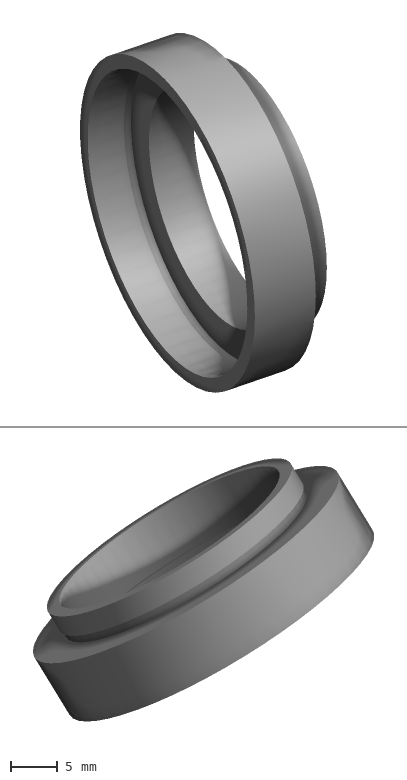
import cadquery as cq

outer_diameter = 38.1
total_length = 11.0
flange_length = 7.5
lip_diameter = 30.5
lip_length = 2.5
neck_diameter = 30.02
bore_diameter = 27.47
recess_diameter = 34.8
recess_depth = 5.5
groove_diameter = 35.28
groove_width = 1.0

neck_length = total_length - flange_length - lip_length


def cylinder(diameter, start, length):
    """Solid cylinder along +Y, beginning at the given Y position."""
    plane = cq.Plane(origin=(0, start, 0), xDir=(1, 0, 0), normal=(0, 1, 0))
    return cq.Workplane(plane).circle(diameter / 2).extrude(length)


flange = cylinder(outer_diameter, 0, flange_length)
neck = cylinder(neck_diameter, flange_length, neck_length)
lip = cylinder(lip_diameter, flange_length + neck_length, lip_length)

bore = cylinder(bore_diameter, 0, total_length)
recess = cylinder(recess_diameter, 0, recess_depth)
groove = cylinder(groove_diameter, recess_depth - groove_width, groove_width)

result = flange.union(neck).union(lip).cut(bore).cut(recess).cut(groove)